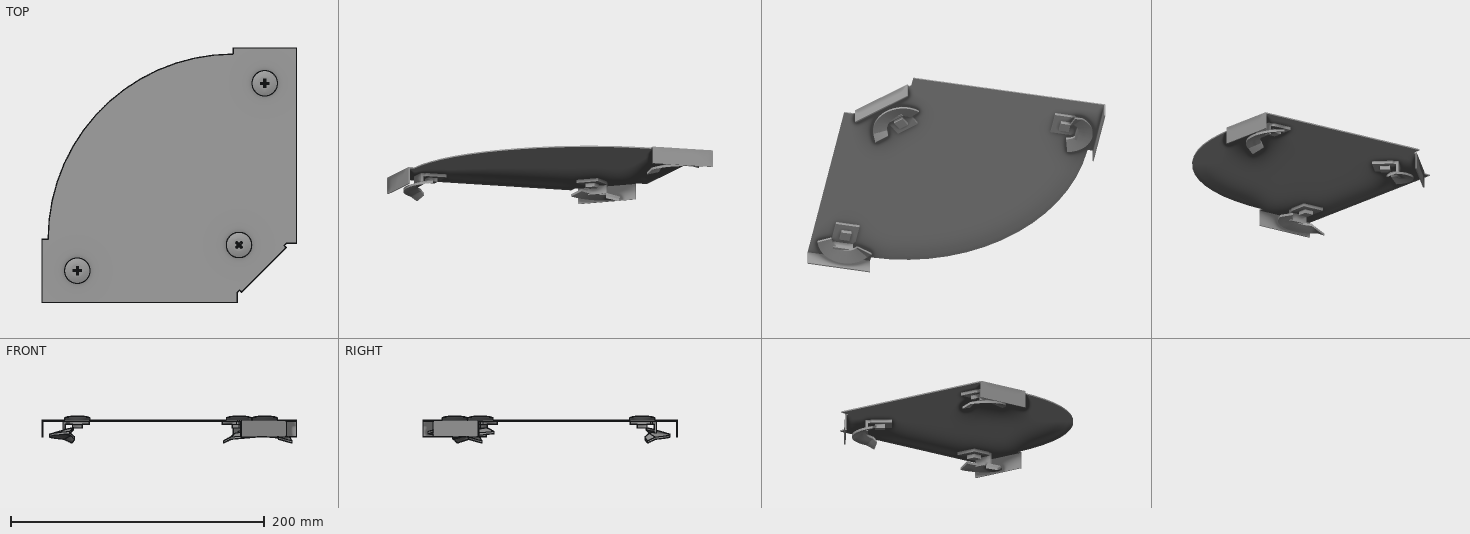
import cadquery as cq
import math

size = 200.7
sheet = 1.0
flange_height = 13.2
side_flange_length = 50.0
arc_setback = 4.8
corner_cut_start = 154.2
corner_flange_offset = 149.4
relief_depth = 2.2
relief_width = 2.5

head_diameter = 20.0
head_flat_diameter = 9.8
head_rim_height = 1.7
head_height = 3.0
shank_width = 7.8
shank_bottom = -6.5
cross_length = 6.5
cross_width = 1.6
cross_depth = 1.6
cross_taper = 15.0

plate_half_width = 9.5
plate_thickness = 2.5
plate_chamfer = 1.5
tab_reach = 11.5
tab_thickness = 2.0
wing_inner_radius = 11.0
wing_outer_radius = 22.0
wing_thickness = 1.8
wing_outward_drop = 3.0
wing_high_angle = 254.0
wing_bend_angle = 118.0
wing_tip_angle = 101.0
wing_high_z = -6.0
wing_bend_z = -10.5
wing_tip_z = -13.5
ramp_sections = 8

end_edge_distance = 25.0
end_side_distance = 28.0
corner_distance = 45.4
stations = [
    (end_side_distance, end_edge_distance, 0),
    (size - corner_distance, corner_distance, 135),
    (size - end_edge_distance, size - end_side_distance, -90),
]


def mirrored(point):
    """Mirror a plan point in the cover's diagonal."""
    return (size - point[1], size - point[0])


def corner_points():
    """Plan points from the bottom edge to the middle of the notch beside the corner flange."""
    diagonal = math.sqrt(0.5)
    base_offset = corner_flange_offset - relief_depth / diagonal
    start = (corner_cut_start, corner_cut_start - base_offset)
    inner = (start[0] + relief_width * diagonal, start[1] + relief_width * diagonal)
    outer = (inner[0] + relief_depth * diagonal, inner[1] - relief_depth * diagonal)
    return start, inner, outer


def square_prism(bottom, top):
    """Square bar of the shank's section on the Z axis."""
    return cq.Workplane("XY").workplane(offset=bottom).rect(shank_width, shank_width).extrude(top - bottom)


def placed(body, station):
    x, y, turn = station
    return body.rotate((0, 0, 0), (0, 0, 1), turn).translate((x, y, 0))


def make_cover():
    start, inner, outer = corner_points()
    arc_start = (arc_setback, side_flange_length)
    radius = size - side_flange_length - arc_setback
    arc_middle = (
        arc_setback + radius * (1 - math.sqrt(0.5)),
        side_flange_length + radius * math.sqrt(0.5),
    )
    cover = (
        cq.Workplane("XY")
        .workplane(offset=-sheet)
        .moveTo(0, 0)
        .lineTo(corner_cut_start, 0)
        .lineTo(*start)
        .lineTo(*inner)
        .lineTo(*outer)
        .lineTo(*mirrored(outer))
        .lineTo(*mirrored(inner))
        .lineTo(*mirrored(start))
        .lineTo(size, size - corner_cut_start)
        .lineTo(size, size)
        .lineTo(size - side_flange_length, size)
        .lineTo(*mirrored(arc_start))
        .threePointArc(arc_middle, arc_start)
        .lineTo(0, side_flange_length)
        .close()
        .extrude(sheet)
    )

    left_flange = cq.Workplane("XY").box(sheet, side_flange_length, flange_height, centered=False)
    back_flange = (
        cq.Workplane("XY")
        .box(side_flange_length, sheet, flange_height, centered=False)
        .translate((size - side_flange_length, size - sheet, 0))
    )
    corner_flange = (
        cq.Workplane("XY")
        .box(math.dist(outer, mirrored(outer)), sheet, flange_height, centered=False)
        .rotate((0, 0, 0), (0, 0, 1), 45)
        .translate((outer[0], outer[1], 0))
    )
    for flange in (left_flange, back_flange, corner_flange):
        cover = cover.union(flange.translate((0, 0, -flange_height)))

    for station in stations:
        cover = cover.cut(placed(square_prism(-sheet, 0), station))
    return cover


def make_knob():
    head_radius = head_diameter / 2
    flat_radius = head_flat_diameter / 2

    dome_run = head_radius - flat_radius
    dome_rise = head_height - head_rim_height
    dome_radius = (dome_run**2 + dome_rise**2) / (2 * dome_rise)
    half_sweep = math.asin(dome_run / dome_radius) / 2
    dome_middle = (
        flat_radius + dome_radius * math.sin(half_sweep),
        head_height - dome_radius * (1 - math.cos(half_sweep)),
    )
    head = (
        cq.Workplane("XZ")
        .moveTo(0, 0)
        .lineTo(head_radius, 0)
        .lineTo(head_radius, head_rim_height)
        .threePointArc(dome_middle, (flat_radius, head_height))
        .lineTo(0, head_height)
        .close()
        .revolve(360, (0, 0, 0), (0, 1, 0))
    )
    knob = head.union(square_prism(shank_bottom, 0))

    for length_x, length_y in ((cross_length, cross_width), (cross_width, cross_length)):
        slot = (
            cq.Workplane("XY")
            .workplane(offset=head_height)
            .rect(length_x, length_y)
            .extrude(-cross_depth, taper=cross_taper)
        )
        knob = knob.cut(slot)
    return knob


def wing_section(angle, inner_top_z):
    """Radial cross-section of the wing, sloping down outward."""
    direction = (math.cos(math.radians(angle)), math.sin(math.radians(angle)))
    outer_top_z = inner_top_z - wing_outward_drop
    profile = [
        (wing_inner_radius, inner_top_z),
        (wing_outer_radius, outer_top_z),
        (wing_outer_radius, outer_top_z - wing_thickness),
        (wing_inner_radius, inner_top_z - wing_thickness),
    ]
    corners = [cq.Vector(r * direction[0], r * direction[1], z) for r, z in profile]
    return cq.Wire.makePolygon(corners, close=True)


def make_wing():
    ramp = []
    for i in range(ramp_sections):
        share = i / (ramp_sections - 1)
        angle = wing_bend_angle + share * (wing_high_angle - wing_bend_angle)
        ramp.append(wing_section(angle, wing_bend_z + share * (wing_high_z - wing_bend_z)))
    tip = [wing_section(wing_tip_angle, wing_tip_z), wing_section(wing_bend_angle, wing_bend_z)]
    ramp_solid = cq.Solid.makeLoft(ramp, False)
    tip_solid = cq.Solid.makeLoft(tip, True)
    return cq.Workplane(ramp_solid).union(cq.Workplane(tip_solid))


def make_latch():
    plate_bottom = -sheet - plate_thickness
    tab_half_width = plate_half_width - plate_chamfer
    shoulder_x = -plate_half_width + tab_thickness
    plate = (
        cq.Workplane("XY")
        .workplane(offset=plate_bottom)
        .moveTo(plate_half_width, -plate_half_width)
        .lineTo(plate_half_width, plate_half_width)
        .lineTo(shoulder_x + plate_chamfer / 2, plate_half_width)
        .lineTo(shoulder_x - plate_chamfer / 2, tab_half_width)
        .lineTo(-tab_reach, tab_half_width)
        .lineTo(-tab_reach, -tab_half_width)
        .lineTo(shoulder_x - plate_chamfer / 2, -tab_half_width)
        .lineTo(shoulder_x + plate_chamfer / 2, -plate_half_width)
        .close()
        .extrude(plate_thickness)
    )

    tab_bottom = (wing_high_z + wing_bend_z) / 2 - wing_thickness
    tab = (
        cq.Workplane("XY")
        .box(tab_thickness, 2 * tab_half_width, plate_bottom - tab_bottom, centered=(False, True, False))
        .translate((-tab_reach, 0, tab_bottom))
    )
    return plate.union(tab).union(make_wing()).cut(square_prism(plate_bottom, -sheet))


cover = make_cover()
knobs = [placed(make_knob(), station) for station in stations]
latches = [placed(make_latch(), station) for station in stations]

result = cq.Compound.makeCompound(
    [cover.val()] + [knob.val() for knob in knobs] + [latch.val() for latch in latches]
)